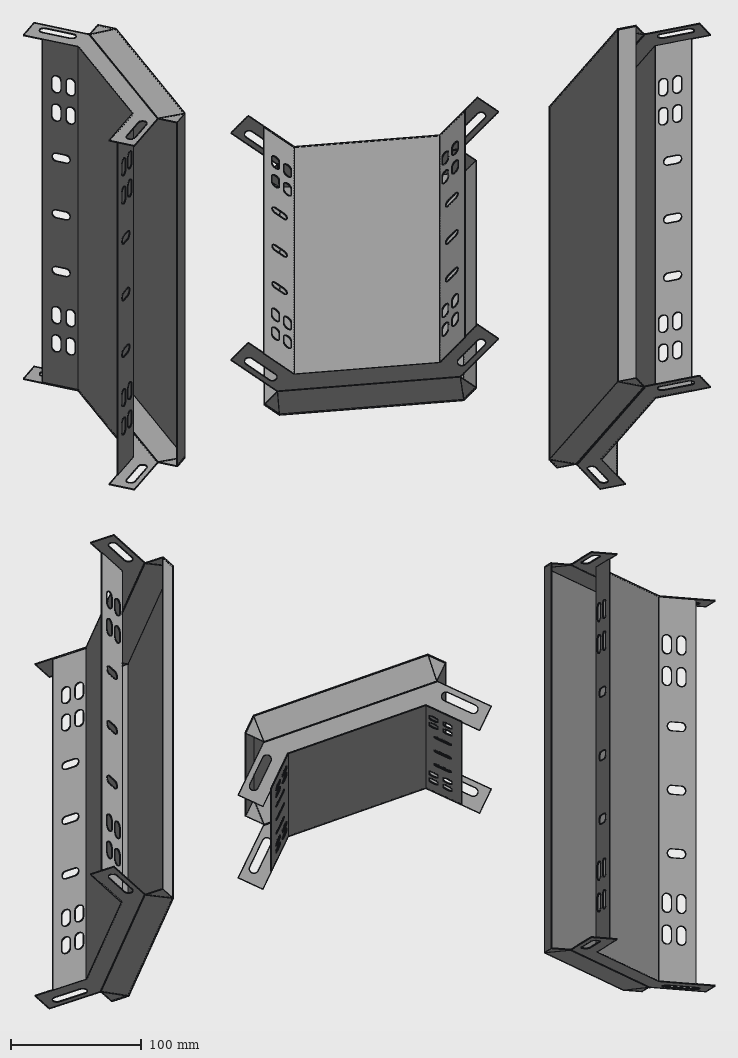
import cadquery as cq
import math

height = 303.2
half_span = 80.5
sheet = 0.75
lip_height = 0.45
lip_width = 0.3

bend = -35.2
arm_front = 43.7
arm_back = 64.5
wall_end = -65.2
cover_end = -34.5
cover_corner = -19.5
seam_gap = 0.15

top = height / 2 - lip_height
bottom = -top

tab_slot_width = 7.0
upright_slot_width = 7.5
level_slot_width = 7.0
wall_slot_length = 15.0
tab_slot_length = 30.0
tab_slot_center = (-57.5, 56.7)
upright_slot_columns = (-53.5, -41.5)
upright_slot_offsets = (88.8, 113.7)
level_slot_x = -49.5
level_slot_pitch = 49.7

bend_setback = sheet * math.tan(math.radians(45 / 2))


def swap(point):
    """Mirror a plan point about the line y = x."""
    x, y = point
    return (y, x)


def symmetric_prism(half_outline, low, high):
    """Extrude a half outline joined to its mirror image about y = x."""
    mirrored = [swap(point) for point in reversed(half_outline)]
    outline = cq.Workplane("XY").workplane(offset=low).polyline(half_outline + mirrored).close()
    return outline.extrude(high - low)


def sheet_strip(outer_half, inner_half, low, high):
    """Extrude a bent sheet whose two faces are given up to the line y = x."""
    outer = outer_half + [swap(point) for point in reversed(outer_half)]
    inner = inner_half + [swap(point) for point in reversed(inner_half)]
    outline = cq.Workplane("XY").workplane(offset=low).polyline(outer + inner[::-1]).close()
    return outline.extrude(high - low)


def with_mirror(solid):
    """Join a cutter with its mirror image about the plane y = x."""
    return solid.union(solid.rotate((0, 0, 0), (1, 1, 0), 180).mirror("XY"))


def wall_slots():
    """Cutters for the slots through the left arm wall."""
    plane = cq.Workplane("XZ", origin=(0, arm_front + 2 * sheet, 0))
    upright_points = [
        (x, side * offset)
        for x in upright_slot_columns
        for offset in upright_slot_offsets
        for side in (-1, 1)
    ]
    level_points = [(level_slot_x, step * level_slot_pitch) for step in (-1, 0, 1)]
    depth = 3 * sheet
    upright = plane.pushPoints(upright_points).slot2D(wall_slot_length, upright_slot_width, 90).extrude(depth)
    level = plane.pushPoints(level_points).slot2D(wall_slot_length, level_slot_width).extrude(depth)
    return upright.union(level)


def tab_slots():
    """Cutter for the slots through both left tabs."""
    plane = cq.Workplane("XY").workplane(offset=-height / 2)
    return plane.pushPoints([tab_slot_center]).slot2D(tab_slot_length, tab_slot_width).extrude(height)


def make_bracket():
    """Bent web with two arm walls, and lipped end plates with slotted tabs."""
    body = sheet_strip(
        [(wall_end, arm_front), (bend, arm_front)],
        [(wall_end, arm_front + sheet), (bend + bend_setback, arm_front + sheet)],
        bottom,
        top,
    )
    plate_half = [
        (bend, arm_back),
        (-half_span, arm_back),
        (-half_span, arm_front),
        (bend, arm_front),
    ]
    lip_shift = lip_width / math.sqrt(2)
    lip_half = [(bend, arm_back), (bend - lip_shift, arm_back - lip_shift)]
    for plate_low, lip_low in ((bottom, bottom - lip_height), (top - sheet, top)):
        body = body.union(symmetric_prism(plate_half, plate_low, plate_low + sheet))
        body = body.union(symmetric_prism(lip_half, lip_low, lip_low + lip_height))
    return body.cut(with_mirror(wall_slots().union(tab_slots())))


def seam_cutter(low):
    """Slit between the panel flange and the left side flange of one end."""
    run = cover_corner - cover_end
    rise = half_span - arm_back
    slit = cq.Workplane("XY").box(math.hypot(run, rise), seam_gap, sheet, centered=(False, True, False))
    angle = math.degrees(math.atan2(rise, run))
    return slit.rotate((0, 0, 0), (0, 0, 1), angle).translate((cover_end, arm_back, low))


def make_cover():
    """Oblique panel with side flanges, and end flanges that stop just short of the bracket."""
    body = sheet_strip(
        [(cover_end, half_span), (cover_corner, half_span)],
        [(cover_end, half_span - sheet), (cover_corner - bend_setback, half_span - sheet)],
        bottom,
        top,
    )
    flange_half = [(cover_corner, half_span), (cover_end, half_span), (cover_end, arm_back)]
    for low in (bottom, top - sheet):
        flange = symmetric_prism(flange_half, low, low + sheet)
        body = body.union(flange).cut(with_mirror(seam_cutter(low)))
    return body


bracket = make_bracket()
cover = make_cover()
result = cq.Compound.makeCompound([bracket.solids().val(), cover.solids().val()])